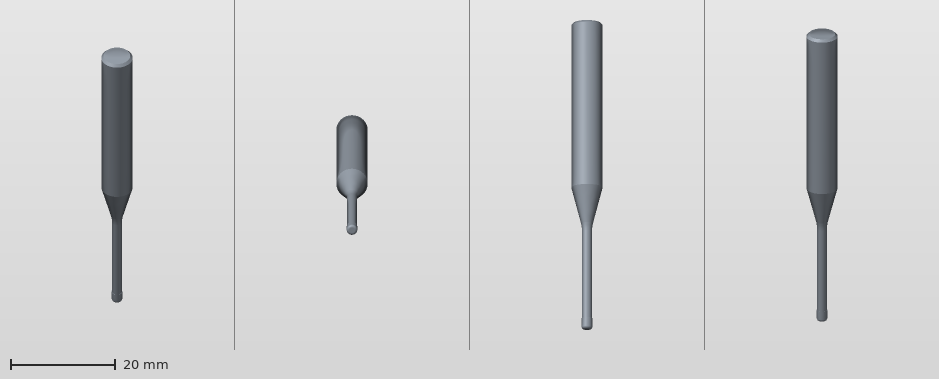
import cadquery as cq
import math

total_length = 60.0
shank_radius = 3.0

tip_radius = 1.0
tip_length = 2.15
tip_corner_radius = 0.5

neck_radius = 0.95
neck_top_z = 19.25
flare_top_z = 20.75
flare_end_radius = 1.15

taper_top_z = 27.8
chamfer_size = 0.5


def make_cutting_tip():
    """Short cylinder with a rounded lower edge, standing on Z = 0."""
    tip = cq.Workplane("XY").circle(tip_radius).extrude(tip_length)
    return tip.faces("<Z").edges().fillet(tip_corner_radius)


def make_holder():
    """Neck, flare, taper and chamfered shank revolved about the Z axis."""
    flare_rise = flare_top_z - neck_top_z
    flare_spread = flare_end_radius - neck_radius

    flare_arc_radius = (flare_rise**2 + flare_spread**2) / (2 * flare_spread)
    half_angle = math.asin(flare_rise / flare_arc_radius) / 2
    flare_middle = (
        neck_radius + flare_arc_radius * (1 - math.cos(half_angle)),
        neck_top_z + flare_arc_radius * math.sin(half_angle),
    )

    profile = (
        cq.Workplane("XZ")
        .moveTo(0, tip_length)
        .lineTo(neck_radius, tip_length)
        .lineTo(neck_radius, neck_top_z)
        .threePointArc(flare_middle, (flare_end_radius, flare_top_z))
        .lineTo(shank_radius, taper_top_z)
        .lineTo(shank_radius, total_length - chamfer_size)
        .lineTo(shank_radius - chamfer_size, total_length)
        .lineTo(0, total_length)
        .close()
    )
    return profile.revolve(360, (0, 0, 0), (0, 1, 0))


cutting_tip = make_cutting_tip()
holder = make_holder()

result = cq.Compound.makeCompound([cutting_tip.val(), holder.val()])